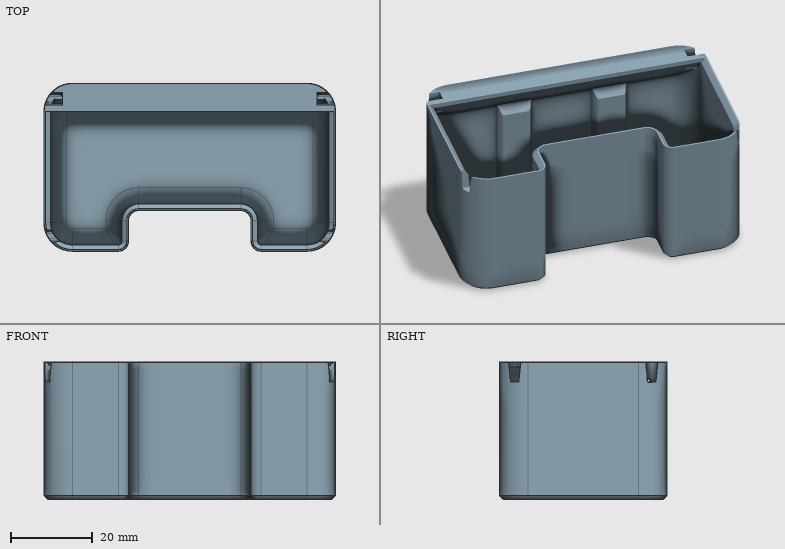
import cadquery as cq
import math

LENGTH = 71.5
WIDTH = 41.2
HEIGHT = 33.7
TOP = HEIGHT / 2
BOTTOM = -HEIGHT / 2
BACK = WIDTH / 2
FRONT = -WIDTH / 2

WALL = 1.6
FLOOR = 1.0
CORNER_RADIUS = 7.0
FLOOR_FILLET = 4.0
BASE_CHAMFER = 1.0

RECESS_WIDTH = 30.0
RECESS_DEPTH = 10.0
RECESS_RADIUS = 2.5

LIP_LAND = 0.4
LIP_RUN = WALL - LIP_LAND
LIP_DEPTH = 1.15

LEDGE_DEPTH = 6.9
LEDGE_FACE_HEIGHT = 1.15
LEDGE_ROOT_HEIGHT = 7.95

RIB_CENTERS = (-12.15, 12.15)
RIB_TIP_WIDTH = 7.0
RIB_ROOT_WIDTH = 9.0
RIB_PROJECTION = 2.5
RIB_RADIUS = 0.7
RIB_FRONT_DROP = 9.15

NOTCH_REACH = 4.5
NOTCH_DEPTH = 4.9
NOTCH_TOP_WIDTH = 3.0
NOTCH_BOTTOM_WIDTH = 2.0
NOTCH_EDGE_OFFSET = 3.8
NOTCH_FILLET = 0.4

SELECTION_MARGIN = 0.1


def make_block():
    """Solid block with rounded corners and the U-shaped recess in its front."""
    block = cq.Workplane("XY").box(LENGTH, WIDTH, HEIGHT).edges("|Z").fillet(CORNER_RADIUS)
    recess = (
        cq.Workplane("XY")
        .box(RECESS_WIDTH, 2 * RECESS_DEPTH, HEIGHT)
        .edges("|Z")
        .fillet(RECESS_RADIUS)
        .translate((0, FRONT, 0))
    )
    block = block.cut(recess)
    mouth_edges = cq.selectors.BoxSelector(
        (-RECESS_WIDTH / 2 - SELECTION_MARGIN, FRONT - SELECTION_MARGIN, BOTTOM),
        (RECESS_WIDTH / 2 + SELECTION_MARGIN, FRONT + SELECTION_MARGIN, TOP),
    )
    return block.edges("|Z").edges(mouth_edges).fillet(RECESS_RADIUS)


def inset_outline(block, inset):
    """Outline of the block, moved inwards, lying in the bottom plane."""
    return block.faces("<Z").wires().toPending().offset2D(-inset)


def make_cavity(block):
    """Inside of the shell, with a rounded transition from floor to walls."""
    cavity = inset_outline(block, WALL).extrude(HEIGHT, combine=False).translate((0, 0, FLOOR))
    return cavity.faces("<Z").edges().fillet(FLOOR_FILLET)


def make_lip_cut(block):
    """Tapered cut that slopes the inner side of the rim from a narrow land down to the wall."""
    taper = math.degrees(math.atan2(LIP_RUN, LIP_DEPTH))
    upside_down = block.rotate((0, 0, 0), (0, 1, 0), 180)
    cut = inset_outline(upside_down, LIP_LAND).extrude(LIP_DEPTH, combine=False, taper=taper)
    return cut.rotate((0, 0, 0), (0, 1, 0), 180)


def make_ledge(block):
    """Ledge with an upright front face and an underside that slopes down to the back wall."""
    ledge_front = BACK - LEDGE_DEPTH
    profile = [
        (BACK, TOP),
        (ledge_front, TOP),
        (ledge_front, TOP - LEDGE_FACE_HEIGHT),
        (BACK - WALL, TOP - LEDGE_ROOT_HEIGHT),
        (BACK, TOP - LEDGE_ROOT_HEIGHT),
    ]
    bar = cq.Workplane("YZ").polyline(profile).close().extrude(LENGTH / 2, both=True)
    return bar.intersect(block)


def make_rib(center_x):
    """Upright rib, narrowing away from the wall, with a 45 degree top running back under the ledge."""
    wall_face = BACK - WALL
    tip = wall_face - RIB_PROJECTION
    section = [
        (-RIB_ROOT_WIDTH / 2, wall_face),
        (-RIB_TIP_WIDTH / 2, tip),
        (RIB_TIP_WIDTH / 2, tip),
        (RIB_ROOT_WIDTH / 2, wall_face),
        (RIB_ROOT_WIDTH / 2, BACK - WALL / 2),
        (-RIB_ROOT_WIDTH / 2, BACK - WALL / 2),
    ]
    foot = BOTTOM + FLOOR / 2
    rib = cq.Workplane("XY", origin=(0, 0, foot)).polyline(section).close().extrude(TOP - foot)
    rib = rib.edges("|Z and <Y").fillet(RIB_RADIUS)
    front_top = TOP - RIB_FRONT_DROP
    above_slope = [
        (tip, front_top),
        (tip, TOP),
        (tip + RIB_FRONT_DROP, TOP),
    ]
    waste = cq.Workplane("YZ").polyline(above_slope).close().extrude(RIB_ROOT_WIDTH, both=True)
    return rib.cut(waste).translate((center_x, 0, 0))


def make_notch(side_x, side_y):
    """Tapered notch cut inwards from one end of the part, near one corner."""
    profile = [
        (-NOTCH_TOP_WIDTH / 2, TOP),
        (NOTCH_TOP_WIDTH / 2, TOP),
        (NOTCH_BOTTOM_WIDTH / 2, TOP - NOTCH_DEPTH),
        (-NOTCH_BOTTOM_WIDTH / 2, TOP - NOTCH_DEPTH),
    ]
    notch = cq.Workplane("YZ").polyline(profile).close().extrude(NOTCH_REACH)
    notch = notch.edges("|X and <Z").fillet(NOTCH_FILLET)
    start_x = LENGTH / 2 - NOTCH_REACH if side_x > 0 else -LENGTH / 2
    return notch.translate((start_x, side_y * (BACK - NOTCH_EDGE_OFFSET), 0))


block = make_block()
result = block.faces("<Z").edges().chamfer(BASE_CHAMFER)
result = result.cut(make_cavity(block)).cut(make_lip_cut(block))
for rib_center in RIB_CENTERS:
    result = result.union(make_rib(rib_center))
result = result.union(make_ledge(block))
for side_x in (-1, 1):
    for side_y in (-1, 1):
        result = result.cut(make_notch(side_x, side_y))